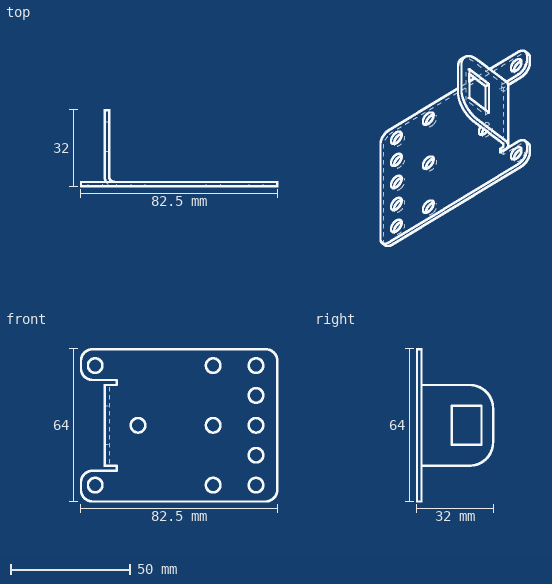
import cadquery as cq

plate_length = 82.5
plate_height = 64.0
thickness = 2.0
corner_radius = 5.0

arm_height = 13.0
notch_depth = 15.0
notch_height = plate_height - 2 * arm_height

tab_reach = 32.0
tab_height = 34.0
tab_left = 10.0
tab_corner_radius = 10.0
bend_inner_radius = 2.0
bend_outer_radius = bend_inner_radius + thickness

window_start = 14.6
window_depth = 12.4
window_height = 16.25

hole_diameter = 6.0
hole_pitch = 12.5
arm_hole_x = 6.0
single_hole_x = 24.0
middle_column_x = 55.5
right_column_x = 73.5


def hole_positions():
    """X, Z centres of all the round holes."""
    outer_z = 2 * hole_pitch
    points = [(arm_hole_x, z) for z in (-outer_z, outer_z)]
    points += [(single_hole_x, 0)]
    points += [(middle_column_x, z) for z in (-outer_z, 0, outer_z)]
    points += [(right_column_x, row * hole_pitch) for row in range(-2, 3)]
    return points


def extrude_back(sketch):
    """Extrude an XZ sketch from the front face through the thickness (+Y)."""
    return sketch.extrude(-thickness)


def make_plate():
    half_height = plate_height / 2
    half_notch = notch_height / 2
    outline = (
        cq.Workplane("XZ")
        .moveTo(0, -half_height)
        .lineTo(plate_length, -half_height)
        .lineTo(plate_length, half_height)
        .lineTo(0, half_height)
        .lineTo(0, half_notch)
        .lineTo(notch_depth, half_notch)
        .lineTo(notch_depth, -half_notch)
        .lineTo(0, -half_notch)
        .close()
    )
    plate = extrude_back(outline)
    plate = plate.edges("|Y and (<X or >X)").fillet(corner_radius)
    holes = extrude_back(cq.Workplane("XZ").pushPoints(hole_positions()).circle(hole_diameter / 2))
    return plate.cut(holes)


def make_tab():
    tab = (
        cq.Workplane("XY", origin=(0, 0, -tab_height / 2))
        .moveTo(tab_left, tab_reach)
        .lineTo(tab_left, bend_outer_radius)
        .radiusArc((tab_left + bend_outer_radius, 0), -bend_outer_radius)
        .lineTo(notch_depth + thickness, 0)
        .lineTo(notch_depth + thickness, thickness)
        .lineTo(tab_left + bend_outer_radius, thickness)
        .radiusArc((tab_left + thickness, bend_outer_radius), bend_inner_radius)
        .lineTo(tab_left + thickness, tab_reach)
        .close()
        .extrude(tab_height)
    )
    tab = tab.faces(">Y").edges("|X").fillet(tab_corner_radius)
    window = cq.Workplane("XY").box(
        thickness, window_depth, window_height, centered=(False, False, True)
    )
    return tab.cut(window.translate((tab_left, window_start, 0)))


result = make_plate().union(make_tab()).clean()